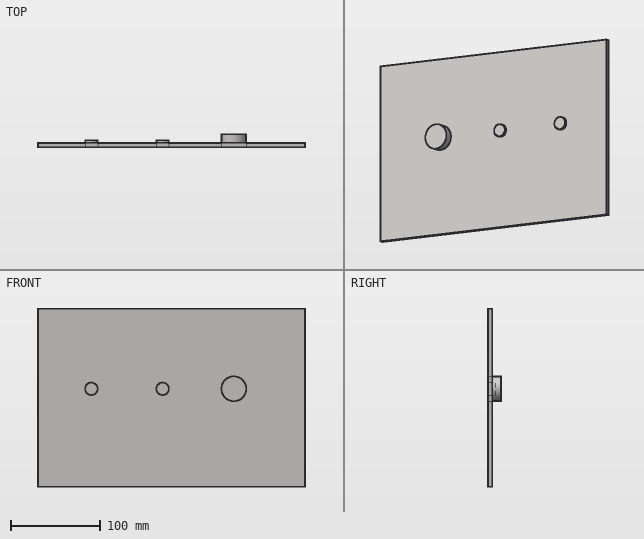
import cadquery as cq

PLATE_LENGTH = 300.0
PLATE_HEIGHT = 200.0
PLATE_THICKNESS = 5.0

SMALL_DIAMETER = 14.0
LARGE_DIAMETER = 28.0
SMALL_LENGTH = 8.0
LARGE_LENGTH = 15.0

ROW_HEIGHT = 110.0
FIRST_INSERT_X = 60.0
SMALL_INSERT_COUNT = 2
LARGE_INSERT_COUNT = 1
INSERT_PITCH = (PLATE_LENGTH - FIRST_INSERT_X) / (SMALL_INSERT_COUNT + LARGE_INSERT_COUNT)

small_insert_places = [FIRST_INSERT_X + i * INSERT_PITCH for i in range(SMALL_INSERT_COUNT)]
large_insert_place = FIRST_INSERT_X + SMALL_INSERT_COUNT * INSERT_PITCH


def make_insert(x, diameter, length):
    """Cylinder from the plate's front face toward +Y, centred on the row at x."""
    return (
        cq.Workplane("XZ")
        .center(x, ROW_HEIGHT)
        .circle(diameter / 2)
        .extrude(-length)
    )


small_inserts = [make_insert(x, SMALL_DIAMETER, SMALL_LENGTH) for x in small_insert_places]
large_insert = make_insert(large_insert_place, LARGE_DIAMETER, LARGE_LENGTH)


def make_plate():
    """Rectangular plate with a through hole matching each insert."""
    plate = cq.Workplane("XY").box(PLATE_LENGTH, PLATE_THICKNESS, PLATE_HEIGHT, centered=False)
    for insert in [*small_inserts, large_insert]:
        plate = plate.cut(insert)
    return plate


plate = make_plate()

result = cq.Compound.makeCompound(
    [plate.val(), *[insert.val() for insert in small_inserts], large_insert.val()]
)